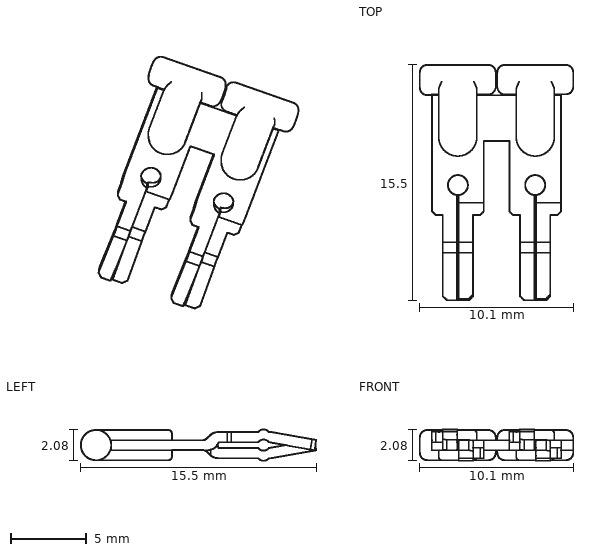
import cadquery as cq
import math

total_length = 15.5
total_height = 2.08

barrel_pitch = 5.1
barrel_centers = (-barrel_pitch / 2, barrel_pitch / 2)
barrel_length = 5.0
barrel_diameter = 2.0
barrel_radius = barrel_diameter / 2
end_rounding = 0.5
neck_radius = barrel_radius - end_rounding
pad_radius = 1.25
pad_rounding = 0.25
pad_end = 5.0

plate_thickness = 0.65
plate_half_thickness = plate_thickness / 2
leg_pitch = 5.08
leg_centers = (-leg_pitch / 2, leg_pitch / 2)
leg_width = 3.41
plate_width = leg_pitch + leg_width
notch_end = 4.01
hole_diameter = 1.3
hole_distance = 6.91
slit_width = 0.1

arm_thickness = 0.68
arm_bottom = 0.19
arm_top = arm_bottom + arm_thickness
outer_bend_start = 7.0
outer_bend_middle = 7.45
inner_bend_start = 7.38
bend_end = 8.08
bump_start = 10.68
bump_end = 11.38
bump_height = total_height / 2 - arm_top
taper_start = 11.53
taper_angle = 10
taper_slope = math.tan(math.radians(taper_angle))
tip = total_length - barrel_radius
prong_width = 2.0
shoulder = 8.9
shoulder_chamfer = 0.25
tip_chamfer = 0.28


def box(x_min, x_max, y_min, y_max, half_height):
    """Block between the given limits, centred on z = 0."""
    return (
        cq.Workplane("XY", origin=((x_min + x_max) / 2, (y_min + y_max) / 2, 0))
        .box(x_max - x_min, y_max - y_min, 2 * half_height)
    )


def make_barrel(x_center):
    """Cylinder along X with both end edges rounded."""
    half_length = barrel_length / 2
    straight_half = half_length - end_rounding
    diagonal = end_rounding * math.sqrt(0.5)
    return (
        cq.Workplane("XZ", origin=(x_center, 0, 0))
        .moveTo(-half_length, 0)
        .lineTo(-half_length, neck_radius)
        .threePointArc(
            (-straight_half - diagonal, neck_radius + diagonal), (-straight_half, barrel_radius)
        )
        .lineTo(straight_half, barrel_radius)
        .threePointArc(
            (straight_half + diagonal, neck_radius + diagonal), (half_length, neck_radius)
        )
        .lineTo(half_length, 0)
        .close()
        .revolve(360, (0, 0, 0), (1, 0, 0))
    )


def make_pad(x_center):
    """Round-ended grip pad as thick as the barrel, with rounded rims above and below."""
    arc_center = pad_end - pad_radius
    pad = (
        cq.Workplane("XY", origin=(x_center, 0, -barrel_radius))
        .moveTo(-pad_radius, 0)
        .lineTo(-pad_radius, -arc_center)
        .threePointArc((0, -pad_end), (pad_radius, -arc_center))
        .lineTo(pad_radius, 0)
        .close()
        .extrude(barrel_diameter)
    )
    return pad.faces("<Z or >Z").edges("not >Y").fillet(pad_rounding)


def make_handle():
    """Barrels, neck and pads in one piece, with a slot for the plate and a web that meets its edge."""
    handle = cq.Workplane("YZ").circle(neck_radius).extrude(barrel_pitch / 2, both=True)
    for x_center in barrel_centers:
        handle = handle.union(make_barrel(x_center)).union(make_pad(x_center))

    plate_side = plate_width / 2
    right_end = (barrel_pitch + barrel_length) / 2
    slot = box(-plate_side, right_end, -pad_end, 0, plate_half_thickness)

    floor_depth = math.sqrt(barrel_radius**2 - plate_half_thickness**2)
    core = box(-plate_side, right_end, -floor_depth, 0, plate_half_thickness)
    core = core.edges("|Z and >X and <Y").fillet(end_rounding)
    web = box(-plate_side, plate_side, -barrel_radius, 0, plate_half_thickness)
    return handle.cut(slot).union(core).union(web)


def make_arm_profile():
    """Side profile of an upward arm in the YZ plane: S-bend, bump and tapered tip."""
    bump_middle = (bump_start + bump_end) / 2
    bend_middle_height = (plate_half_thickness + arm_top) / 2

    tip_top = arm_top - (tip - taper_start) * taper_slope
    tip_thickness = tip_top - arm_bottom + (tip - bump_end) * taper_slope
    inner_tip = tip - tip_thickness * taper_slope / (1 + taper_slope**2)
    inner_tip_height = arm_bottom - (inner_tip - bump_end) * taper_slope

    return (
        cq.Workplane("YZ")
        .moveTo(-outer_bend_start, -plate_half_thickness)
        .lineTo(-inner_bend_start, -plate_half_thickness)
        .tangentArcPoint((-bend_end, arm_bottom), relative=False)
        .lineTo(-bump_start, arm_bottom)
        .threePointArc((-bump_middle, arm_bottom + bump_height), (-bump_end, arm_bottom))
        .lineTo(-inner_tip, inner_tip_height)
        .lineTo(-tip, tip_top)
        .lineTo(-taper_start, arm_top)
        .lineTo(-bump_end, arm_top)
        .threePointArc((-bump_middle, arm_top + bump_height), (-bump_start, arm_top))
        .lineTo(-bend_end, arm_top)
        .spline(
            [(-outer_bend_middle, bend_middle_height), (-outer_bend_start, plate_half_thickness)],
            tangents=[(1, 0), (1, 0)],
            includeCurrent=True,
        )
        .close()
    )


def make_arm():
    """Upward arm on the -X side of a leg whose centre line is x = 0."""
    leg_half = leg_width / 2
    prong_half = prong_width / 2
    side_shape = make_arm_profile().extrude(-leg_half)
    plan_shape = (
        cq.Workplane("XY", origin=(0, 0, -barrel_radius))
        .moveTo(-slit_width / 2, -outer_bend_start)
        .lineTo(-leg_half, -outer_bend_start)
        .lineTo(-leg_half, shoulder_chamfer - shoulder)
        .lineTo(shoulder_chamfer - leg_half, -shoulder)
        .lineTo(-prong_half, -shoulder)
        .lineTo(-prong_half, -total_length)
        .lineTo(-slit_width / 2, -total_length)
        .close()
        .extrude(2 * barrel_diameter)
    )
    arm = side_shape.intersect(plan_shape)
    tip_corner = cq.selectors.NearestToPointSelector((-prong_half, -tip, 0))
    return arm.edges(tip_corner).chamfer(tip_chamfer)


def make_plate():
    """Flat plate with two legs, each ending in an upward and a downward arm."""
    notch_half = (leg_pitch - leg_width) / 2
    plate_side = plate_width / 2
    plate = box(-plate_side, plate_side, -outer_bend_start, -barrel_radius, plate_half_thickness)
    notch = box(-notch_half, notch_half, -outer_bend_start, -notch_end, plate_half_thickness)
    plate = plate.cut(notch)

    upward_arm = make_arm()
    downward_arm = upward_arm.rotate((0, 0, 0), (0, 1, 0), 180)
    for x_center in leg_centers:
        hole = (
            cq.Workplane("XY", origin=(x_center, -hole_distance, -barrel_radius))
            .circle(hole_diameter / 2)
            .extrude(barrel_diameter)
        )
        for arm in (upward_arm, downward_arm):
            plate = plate.union(arm.translate((x_center, 0, 0)))
        plate = plate.cut(hole)
    return plate


handle = make_handle()
plate = make_plate()
result = cq.Compound.makeCompound([handle.solids().val(), plate.solids().val()])